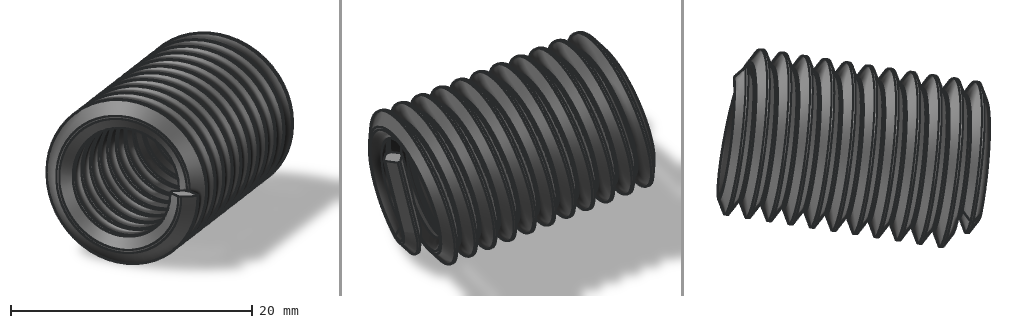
import cadquery as cq
import math


total_length = 22.0
outer_diameter = 14.0
wire_height = 1.58
land_width = 0.26
turns = 11.25
flank_angle = 30.0
bend_radius = 1.52
bend_angle = 120.0
tang_length = 6.67

pitch = (total_length - wire_height) / turns
coil_rise = turns * pitch
outer_crest = pitch / 8
inner_crest = pitch / 4
flank_slope = math.tan(math.radians(flank_angle))
outer_depth = (wire_height - outer_crest) / 2 / flank_slope
inner_depth = (wire_height - inner_crest) / 2 / flank_slope
path_radius = outer_diameter / 2 - outer_depth - land_width / 2


def wire_section(plane):
    """Wire section; the plane's local x points radially outward and y along the axis."""
    land = land_width / 2
    tip = land + outer_depth
    root = -land - inner_depth
    return cq.Workplane(plane).polyline([
        (tip, -outer_crest / 2),
        (tip, outer_crest / 2),
        (land, wire_height / 2),
        (-land, wire_height / 2),
        (root, inner_crest / 2),
        (root, -inner_crest / 2),
        (-land, -wire_height / 2),
        (land, -wire_height / 2),
    ]).close()


def stand_along_y(body):
    """Turn a body built around Z so that its axis runs along +Y, centred on the origin."""
    turned = body.rotate((0, 0, 0), (1, 0, 0), -90)
    return turned.translate((0, -coil_rise / 2, 0))


def make_coil():
    """Right-hand helical coil, starting on the +X side."""
    helix = cq.Wire.makeHelix(pitch, coil_rise, path_radius)
    start = cq.Plane(origin=(path_radius, 0, 0), xDir=(1, 0, 0), normal=(0, -1, 0))
    return stand_along_y(wire_section(start).sweep(helix, isFrenet=True))


def make_tang():
    """Flat bend from the coil end, followed by a straight bar across the bore."""
    center_y = path_radius - bend_radius

    def bend_point(swept):
        angle = math.radians(90 + swept)
        return (bend_radius * math.cos(angle), center_y + bend_radius * math.sin(angle))

    bend_start = bend_point(0)
    bend_end = bend_point(bend_angle)
    heading = math.radians(180 + bend_angle)
    tip = (
        bend_end[0] + tang_length * math.cos(heading),
        bend_end[1] + tang_length * math.sin(heading),
    )
    path = (
        cq.Workplane("XY", origin=(0, 0, coil_rise))
        .moveTo(*bend_start)
        .threePointArc(bend_point(bend_angle / 2), bend_end)
        .lineTo(*tip)
    )
    start = cq.Plane(origin=(*bend_start, coil_rise), xDir=(0, 1, 0), normal=(1, 0, 0))
    return stand_along_y(wire_section(start).sweep(path))


coil = make_coil()
tang = make_tang()

result = cq.Compound.makeCompound([coil.val(), tang.val()])